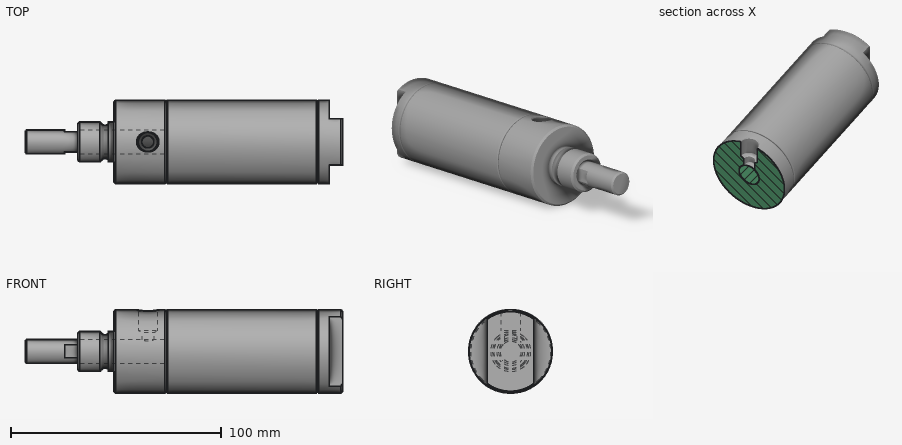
import cadquery as cq
import math


LENGTH = 150.8
NECK_FRONT = 24.9
CAP_FRONT = 42.1
BARREL_FRONT = 67.3
BARREL_REAR = 138.6

BODY_DIAMETER = 39.7
BODY_RADIUS = BODY_DIAMETER / 2
CAP_CHAMFER = 0.9
BARREL_CHAMFER = 0.5

ROD_RADIUS = 5.7
ROD_CHAMFER = 0.8
FLAT_START = 18.7
FLAT_HALF_WIDTH = 4.8

NECK_RADIUS = 9.5
NECK_CHAMFER = 0.9
MOUTH_CHAMFER = 0.9
UNDERCUT_START = 35.5
UNDERCUT_END = 39.5
UNDERCUT_DEPTH = 1.5
UNDERCUT_CORNER = 1.0

PORT_X = 58.2
PORT_RADIUS = 4.5
PORT_CHAMFER = 0.8
PORT_CONE_BOTTOM = 9.0
PORT_PASSAGE_RADIUS = 2.9
DRILL_POINT_ANGLE = 118.0

TONGUE_LENGTH = 6.3
TONGUE_WIDTH = 22.2


def revolved(profile):
    """Turn a closed profile, drawn as (x, radius), about the X axis."""
    return profile.close().revolve(360, (0, 0, 0), (1, 0, 0))


def cylinder(x_start, x_end, radius):
    """A plain cylinder on the X axis."""
    return cq.Workplane("YZ", origin=(x_start, 0, 0)).circle(radius).extrude(x_end - x_start)


def make_rod():
    rod = cylinder(0, BARREL_FRONT, ROD_RADIUS).faces("<X").chamfer(ROD_CHAMFER)

    flat_end = NECK_FRONT + MOUTH_CHAMFER
    flat_cut_depth = ROD_RADIUS
    for side in (-1, 1):
        flat = cq.Workplane().box(flat_end - FLAT_START, flat_cut_depth, 2 * ROD_RADIUS).translate(
            ((FLAT_START + flat_end) / 2, side * (FLAT_HALF_WIDTH + flat_cut_depth / 2), 0)
        )
        rod = rod.cut(flat)
    return rod


def make_undercut_cutter():
    """Ring removed from the neck: 45 degree entry, square rear wall and rounded floor corners."""
    floor_radius = NECK_RADIUS - UNDERCUT_DEPTH
    floor_start = UNDERCUT_START + UNDERCUT_DEPTH
    outer_radius = NECK_RADIUS + UNDERCUT_DEPTH

    ring = revolved(
        cq.Workplane("XY")
        .moveTo(UNDERCUT_START - UNDERCUT_DEPTH, outer_radius)
        .lineTo(floor_start, floor_radius)
        .lineTo(UNDERCUT_END, floor_radius)
        .lineTo(UNDERCUT_END, outer_radius)
    )
    floor_edges = cq.selectors.RadiusNthSelector(0)
    return ring.edges("%CIRCLE").edges(floor_edges).fillet(UNDERCUT_CORNER)


def make_port_cutter():
    """Chamfered drilled port with a conical bottom and a narrow passage down to the rod."""
    cone_height = (PORT_RADIUS - PORT_PASSAGE_RADIUS) / math.tan(math.radians(DRILL_POINT_ANGLE / 2))
    chamfer_bottom = BODY_RADIUS - PORT_CHAMFER
    return (
        cq.Workplane("XZ", origin=(PORT_X, 0, 0))
        .lineTo(PORT_PASSAGE_RADIUS, 0)
        .lineTo(PORT_PASSAGE_RADIUS, PORT_CONE_BOTTOM)
        .lineTo(PORT_RADIUS, PORT_CONE_BOTTOM + cone_height)
        .lineTo(PORT_RADIUS, chamfer_bottom)
        .lineTo(PORT_RADIUS + 2 * PORT_CHAMFER, chamfer_bottom + 2 * PORT_CHAMFER)
        .lineTo(0, chamfer_bottom + 2 * PORT_CHAMFER)
        .close()
        .revolve(360, (0, 0, 0), (0, 1, 0))
    )


def make_front_cap():
    head = cylinder(CAP_FRONT, BARREL_FRONT, BODY_RADIUS).faces("<X or >X").chamfer(CAP_CHAMFER)
    neck = cylinder(NECK_FRONT, CAP_FRONT, NECK_RADIUS).faces("<X").chamfer(NECK_CHAMFER)
    neck = neck.cut(make_undercut_cutter())
    bore = cylinder(NECK_FRONT, BARREL_FRONT, ROD_RADIUS)
    mouth = revolved(
        cq.Workplane("XY")
        .moveTo(NECK_FRONT, 0)
        .lineTo(NECK_FRONT, ROD_RADIUS + MOUTH_CHAMFER)
        .lineTo(NECK_FRONT + MOUTH_CHAMFER, ROD_RADIUS)
        .lineTo(NECK_FRONT + MOUTH_CHAMFER, 0)
    )
    return head.union(neck).cut(bore).cut(mouth).cut(make_port_cutter())


def make_barrel():
    barrel = cylinder(BARREL_FRONT, BARREL_REAR, BODY_RADIUS)
    return barrel.faces("<X or >X").chamfer(BARREL_CHAMFER)


def make_rear_cap():
    cap = cylinder(BARREL_REAR, LENGTH, BODY_RADIUS).faces("<X or >X").chamfer(CAP_CHAMFER)

    cut_width = BODY_RADIUS - TONGUE_WIDTH / 2
    for side in (-1, 1):
        side_cut = cq.Workplane().box(TONGUE_LENGTH, cut_width, 2 * BODY_RADIUS).translate(
            (LENGTH - TONGUE_LENGTH / 2, side * (TONGUE_WIDTH + cut_width) / 2, 0)
        )
        cap = cap.cut(side_cut)
    return cap


rod = make_rod()
front_cap = make_front_cap()
barrel = make_barrel()
rear_cap = make_rear_cap()

result = cq.Compound.makeCompound([rod.val(), front_cap.val(), barrel.val(), rear_cap.val()])